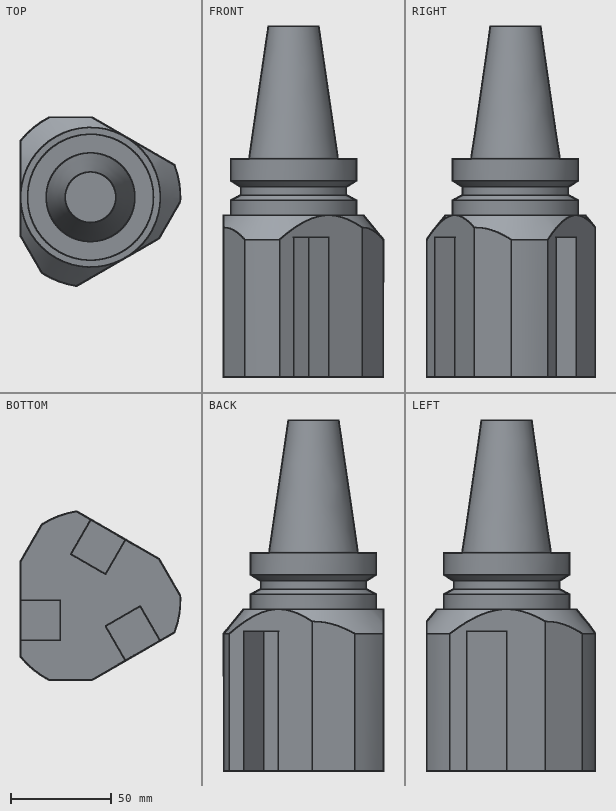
import cadquery as cq

total_height = 175.4

corner_radius = 90.0 / 2
wide_flat_distance = 70.0 / 2
narrow_flat_distance = 40.0
body_top = 81.0
bevel_bottom = 68.8
bevel_top_radius = 34.9
side_count = 3
side_angle = 360 / side_count
wide_flat_direction = 180
narrow_flat_direction = 90

slot_width = 20.0
slot_height = 70.0
slot_depth = 20.0
slot_floor_distance = wide_flat_distance - slot_depth

flange_radius = 63.0 / 2
groove_radius = 53.0 / 2
groove_bottom = 88.4
groove_floor_bottom = 91.0
groove_floor_top = 95.0
groove_top = 98.2
flange_top = 109.1

shank_radius = 44.4 / 2
taper_start = 110.0
taper_ratio = 7 / 24
shank_tip_radius = shank_radius - taper_ratio * (total_height - taper_start) / 2


def revolve_profile(points):
    """Revolve an (r, z) outline about the Z axis."""
    return cq.Workplane("XZ").polyline(points).close().revolve(360, (0, 0), (0, 1))


def flat_cutter(distance, direction):
    """Block that removes everything beyond a flat facing the given angle."""
    size = 2 * corner_radius
    block = cq.Workplane("XY").box(size, size, body_top, centered=(False, True, False))
    return block.translate((distance, 0, 0)).rotate((0, 0, 0), (0, 0, 1), direction)


def slot_cutter(direction):
    """Slot with one side wall on the radial plane facing the given angle."""
    slot = cq.Workplane("XY").box(corner_radius, slot_width, slot_height, centered=False)
    slot = slot.translate((slot_floor_distance, -slot_width, 0))
    return slot.rotate((0, 0, 0), (0, 0, 1), direction)


def make_body():
    body = revolve_profile([
        (0, 0),
        (corner_radius, 0),
        (corner_radius, bevel_bottom),
        (bevel_top_radius, body_top),
        (0, body_top),
    ])
    for side in range(side_count):
        turn = side * side_angle
        body = body.cut(flat_cutter(wide_flat_distance, wide_flat_direction + turn))
        body = body.cut(flat_cutter(narrow_flat_distance, narrow_flat_direction + turn))
        body = body.cut(slot_cutter(wide_flat_direction + turn))
    return body


def make_flange_and_shank():
    return revolve_profile([
        (0, body_top),
        (flange_radius, body_top),
        (flange_radius, groove_bottom),
        (groove_radius, groove_floor_bottom),
        (groove_radius, groove_floor_top),
        (flange_radius, groove_top),
        (flange_radius, flange_top),
        (shank_radius, flange_top),
        (shank_radius, taper_start),
        (shank_tip_radius, total_height),
        (0, total_height),
    ])


result = make_body().union(make_flange_and_shank())